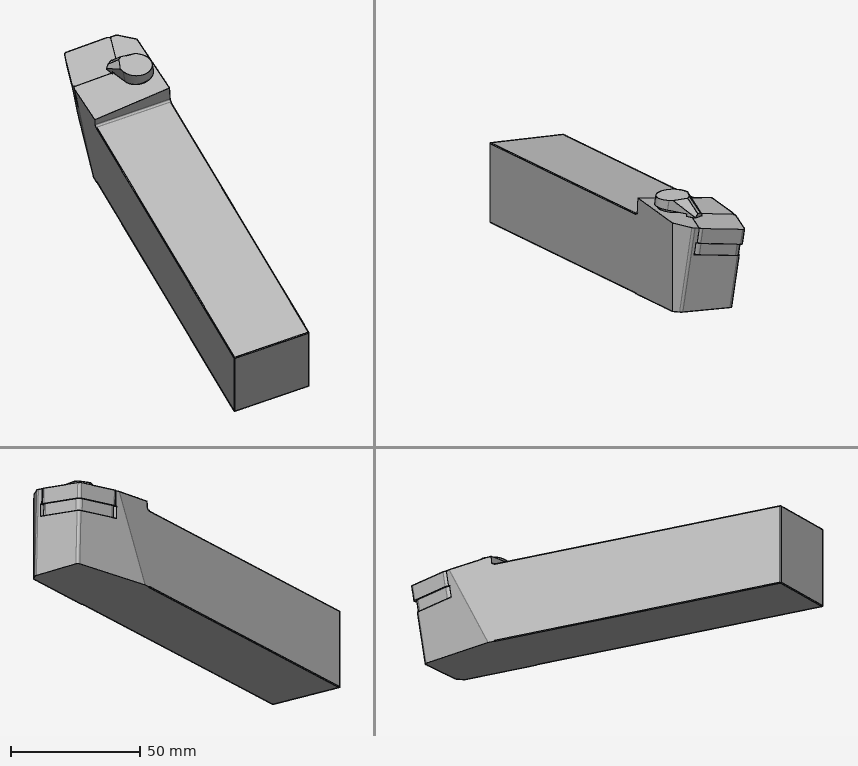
import cadquery as cq
import math

LENGTH = 170.0
WIDTH = 32.0
SHANK_HEIGHT = 32.0
EDGE_CHAMFER = 0.3

RISE_X = 0.107
RISE_Y = 0.103
TIP_X = -0.06
TIP_Y = 4.6
TIP_Z = 31.6
HEAD_END = 38.6
HEAD_STOCK_HEIGHT = 42.5
SHOULDER_FILLET = 0.8
SHOULDER_X = HEAD_END + RISE_X * (TIP_Z - SHANK_HEIGHT + RISE_X * HEAD_END + RISE_Y * WIDTH)
SHANK_START = SHOULDER_X + 1.5 * SHOULDER_FILLET
HEAD_CORNER_RADIUS = 1.2
HEAD_BACK_RADIUS = 1.7
BACK_CORNER_X = 1.7
BACK_CORNER_Y = 26.0
BEVEL_ANGLE = 43.0
DEPTH = 51.0

INSERT_SIDE = 19.2
INSERT_ANGLE = 100.0
INSERT_TURN = -14.3
INSERT_THICKNESS = 6.1
INSERT_RADIUS = 1.2
INSERT_OVERHANG = 0.5

SHIM_THICKNESS = 4.8
SHIM_RADIUS = 1.9
SHIM_CLEARANCE = 0.5
SHIM_INSET = 0.7

CLAMP_X = 25.7
CLAMP_Y = 24.3
CLAMP_RADIUS = 6.3
CLAMP_HEIGHT = 5.6
CLAMP_FALL_X = 0.017
CLAMP_FALL_Y = 0.18
CLAMP_STOCK = 10.2
CLAMP_GAP = 1.0
NECK_RADIUS = 5.1
TOE_START = 9.3
NOSE_TURN = 214.0
NOSE_REACH = 12.7
NOSE_HALF_WIDTH = 2.5
NOSE_TIP_HEIGHT = 1.5
FACET_TOP_REACH = 7.1
FACET_TOP_HALF = 0.8
FACET_BOTTOM_HALF = 1.0
FACET_SPREAD = 49.0

HEAD_NORMAL = cq.Vector(-RISE_X, -RISE_Y, 1)
HEAD_PLANE = cq.Plane(origin=(TIP_X, TIP_Y, TIP_Z), xDir=(1, 0, RISE_X), normal=HEAD_NORMAL.toTuple())


def direction(angle):
    """Unit vector at an angle, in degrees, in the head plane."""
    return cq.Vector(math.cos(math.radians(angle)), math.sin(math.radians(angle)))


def on_head(x, y):
    """Head plane coordinates of the point of the head face at the given X and Y."""
    z = TIP_Z + RISE_X * (x - TIP_X) + RISE_Y * (y - TIP_Y)
    point = HEAD_PLANE.toLocalCoords(cq.Vector(x, y, z))
    return cq.Vector(point.x, point.y)


def head_prism(points, top, thickness):
    """Prism square to the head face, going down from the level top."""
    plane = cq.Workplane(HEAD_PLANE).workplane(offset=top)
    return plane.polyline([(p.x, p.y) for p in points]).close().extrude(-thickness)


SIDE_DIRECTION = direction(INSERT_TURN)
END_DIRECTION = direction(INSERT_TURN + INSERT_ANGLE)


def rhombus(inset, extension):
    """Insert outline, with the cutting sides moved in and the far sides moved out."""
    scale = 1 / math.sin(math.radians(INSERT_ANGLE))
    near = inset * scale
    far = INSERT_SIDE + extension * scale
    pairs = [(near, near), (far, near), (far, far), (near, far)]
    return [SIDE_DIRECTION * a + END_DIRECTION * b for a, b in pairs]


def rounded_rhombus(inset, extension, radius, top, thickness):
    prism = head_prism(rhombus(inset, extension), top, thickness)
    edges = [e for e in prism.edges().vals() if abs(e.Length() - thickness) < 1.7e-06]
    return prism.newObject(edges).fillet(radius).solids()


def make_insert():
    return rounded_rhombus(0, 0, INSERT_RADIUS, 0, INSERT_THICKNESS)


def make_shank():
    size = LENGTH - SHANK_START
    shank = cq.Workplane("XY").box(size, WIDTH, SHANK_HEIGHT, centered=False).translate((SHANK_START, 0, 0))
    shank = shank.faces(">X").edges().chamfer(EDGE_CHAMFER)
    return shank.edges("|X").chamfer(EDGE_CHAMFER)


def make_head():
    """Nose of the holder, with all its walls square to the head face."""
    profile = (
        cq.Workplane("XZ")
        .moveTo(TIP_X, 0)
        .lineTo(SHANK_START, 0)
        .lineTo(SHANK_START, SHANK_HEIGHT)
        .lineTo(SHOULDER_X, SHANK_HEIGHT)
        .lineTo(SHOULDER_X - RISE_X * (HEAD_STOCK_HEIGHT - SHANK_HEIGHT), HEAD_STOCK_HEIGHT)
        .lineTo(TIP_X, HEAD_STOCK_HEIGHT)
        .close()
        .extrude(-WIDTH)
    )
    stock = profile.edges(cq.selectors.NearestToPointSelector((SHOULDER_X, WIDTH / 2, SHANK_HEIGHT)))
    stock = stock.fillet(SHOULDER_FILLET)

    corner = rhombus(INSERT_OVERHANG, 0)[0]
    back_corner = on_head(BACK_CORNER_X, BACK_CORNER_Y)
    bevel_end = back_corner + direction(BEVEL_ANGLE) * DEPTH
    front_end = corner + SIDE_DIRECTION * DEPTH
    far_end = cq.Vector(LENGTH, 0)
    outline = [corner, front_end, far_end, bevel_end, back_corner]
    walls = head_prism(outline, 0, DEPTH)
    for point, radius in ((corner, HEAD_CORNER_RADIUS), (back_corner, HEAD_BACK_RADIUS)):
        middle = HEAD_PLANE.toWorldCoords((point.x, point.y, -DEPTH / 2))
        walls = walls.edges(cq.selectors.NearestToPointSelector(middle.toTuple())).fillet(radius)
    return stock.intersect(walls)


def make_shim_gaps():
    """Slivers left around the rounded shim corners in the square recess."""
    bottom = INSERT_THICKNESS + SHIM_THICKNESS
    recess = head_prism(rhombus(0, SHIM_CLEARANCE), -INSERT_THICKNESS, SHIM_THICKNESS)
    shim = rounded_rhombus(SHIM_INSET, SHIM_CLEARANCE, SHIM_RADIUS, -INSERT_THICKNESS, SHIM_THICKNESS)
    inner = rhombus(0, SHIM_CLEARANCE)[2]
    keep = head_prism([inner + direction(a) * INSERT_SIDE / 2 for a in range(0, 360, 90)], 0, bottom)
    return recess.cut(shim).cut(keep)


def above_facet(first, second, third):
    """Block on the outer side of the plane through three points of the head frame."""
    a, b, c = [HEAD_PLANE.toWorldCoords(p.toTuple()) for p in (first, second, third)]
    normal = (b - a).cross(c - a)
    if normal.z < 0:
        normal = -normal
    plane = cq.Plane(origin=a.toTuple(), xDir=(b - a).toTuple(), normal=normal.toTuple())
    return cq.Workplane(plane).rect(2 * DEPTH, 2 * DEPTH).extrude(DEPTH)


def make_clamp():
    center = on_head(CLAMP_X, CLAMP_Y)
    forward = direction(NOSE_TURN)
    sideways = direction(NOSE_TURN + 90)

    def at(reach, side, height):
        return center + forward * reach + sideways * side + cq.Vector(0, 0, height)

    def on_top(reach, side):
        offset = at(reach, side, 0) - center
        return at(reach, side, CLAMP_HEIGHT - CLAMP_FALL_X * offset.x - CLAMP_FALL_Y * offset.y)

    head = cq.Workplane(HEAD_PLANE).center(center.x, center.y).circle(CLAMP_RADIUS).extrude(CLAMP_STOCK)
    slope = math.atan((CLAMP_RADIUS - NOSE_HALF_WIDTH) / NOSE_REACH)
    tangent_reach = CLAMP_RADIUS * math.sin(slope)
    tangent_side = CLAMP_RADIUS * math.cos(slope)
    nose_outline = [
        at(tangent_reach, -tangent_side, 0),
        at(NOSE_REACH, -NOSE_HALF_WIDTH, 0),
        at(NOSE_REACH, NOSE_HALF_WIDTH, 0),
        at(tangent_reach, tangent_side, 0),
    ]
    clamp = head.union(head_prism(nose_outline, CLAMP_STOCK, CLAMP_STOCK))

    clamp = clamp.cut(above_facet(on_top(0, 0), on_top(1.7, 0), on_top(0, 1.7)))
    ridge_foot = at(NOSE_REACH, FACET_BOTTOM_HALF, NOSE_TIP_HEIGHT)
    other_foot = at(NOSE_REACH, -FACET_BOTTOM_HALF, NOSE_TIP_HEIGHT)
    clamp = clamp.cut(above_facet(on_top(FACET_TOP_REACH, 0), ridge_foot, other_foot))
    spread = math.radians(FACET_SPREAD)
    for side in (-1, 1):
        inner = on_top(FACET_TOP_REACH, side * FACET_TOP_HALF)
        outer = on_top(CLAMP_RADIUS * math.cos(spread), side * CLAMP_RADIUS * math.sin(spread))
        foot = at(NOSE_REACH, side * FACET_BOTTOM_HALF, NOSE_TIP_HEIGHT)
        clamp = clamp.cut(above_facet(inner, outer, foot))

    gap_outline = [
        at(-NOSE_REACH, -NOSE_REACH, 0),
        at(TOE_START, -NOSE_REACH, 0),
        at(TOE_START, NOSE_REACH, 0),
        at(-NOSE_REACH, NOSE_REACH, 0),
    ]
    neck = cq.Workplane(HEAD_PLANE).center(center.x, center.y).circle(NECK_RADIUS).extrude(CLAMP_GAP)
    return clamp.cut(head_prism(gap_outline, CLAMP_GAP, CLAMP_GAP).cut(neck))


def make_holder():
    pocket = head_prism(rhombus(-DEPTH, 0), 0, INSERT_THICKNESS)
    holder = make_head().cut(pocket).cut(make_shim_gaps())
    holder = holder.union(make_shank()).union(make_clamp())
    return holder.solids()


holder = make_holder()
insert = make_insert()

result = cq.Compound.makeCompound([holder.val(), insert.val()])